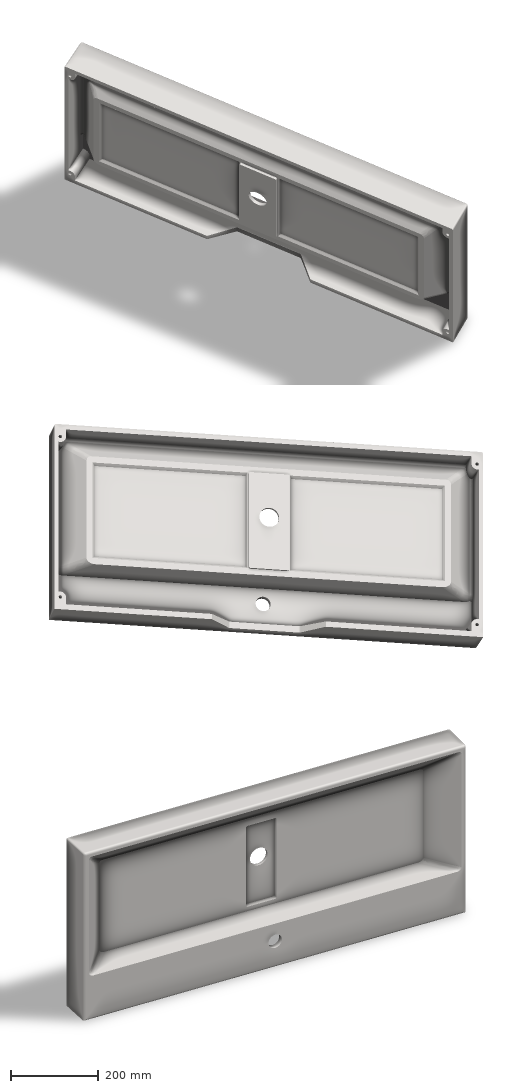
import cadquery as cq
import math

length = 1000.0
height = 450.0
overall_depth = 87.0
pad_rise = 6.0
body_depth = overall_depth - pad_rise
back_edge_radius = 6.0
top_corner_radius = 4.0
outer_draft = 2.0

side_rim = 10.0
top_rim = 12.0
bottom_rim = 13.0
wall_draft = 3.5
deck_thickness = 14.0
valley_radius = 5.0
groove_band = 13.0
deck_clearance = 0.1
groove_search = 50.0
hollow_depth = body_depth - deck_thickness

boss_x = 486.0
boss_inset_z = 30.0
boss_radius = 13.0
screw_hole_diameter = 8.0
screw_hole_depth = 20.0

bowl_half_length = 425.0
bowl_bottom = 115.0
bowl_top = 377.0
bowl_slope = 0.95
bowl_lower_slope = 0.12
bowl_corner_radius = 16.0
bowl_wall = 12.0
floor_thickness = 8.0

pocket_margin = 14.0
pocket_depth = 6.0
pocket_draft = 6.0
pocket_inner_draft = 4.0
pad_length = 95.0
pad_bottom = 129.0
pad_top = 362.0
pad_corner_radius = 4.0
pocket_bottom = 130.0
pad_gap = 2.0
pocket_inner_x = pad_length / 2 + pad_gap

drain_z = 255.0
drain_diameter = 46.0
tap_z = 70.0
tap_diameter = 35.0
notch_half_length = 133.0
notch_depth = 51.0
notch_height = 40.0
notch_radius = 6.0


def rectangle_at(y, x_min, x_max, z_min, z_max):
    """Closed rectangular wire in the plane of constant Y."""
    corners = [(x_min, z_min), (x_max, z_min), (x_max, z_max), (x_min, z_max)]
    return cq.Wire.makePolygon([cq.Vector(x, y, z) for x, z in corners], close=True)


def tapered_block(y_start, start_bounds, y_end, end_bounds):
    """Flat-sided block between two rectangles given as (x_min, x_max, z_min, z_max)."""
    start_wire = rectangle_at(y_start, *start_bounds)
    end_wire = rectangle_at(y_end, *end_bounds)
    return cq.Workplane(obj=cq.Solid.makeLoft([start_wire, end_wire], True))


def inset(bounds, amount):
    """Shrink (x_min, x_max, z_min, z_max) bounds on all four sides."""
    x_min, x_max, z_min, z_max = bounds
    return (x_min + amount, x_max - amount, z_min + amount, z_max - amount)


def cylinder_y(x, z, diameter, y_start, y_end):
    """Round bar along +Y from y_start to y_end."""
    bar = cq.Solid.makeCylinder(diameter / 2, y_end - y_start, cq.Vector(x, y_start, z), cq.Vector(0, 1, 0))
    return cq.Workplane(obj=bar)


def bowl_block(y_start, y_end, wall):
    """Bowl shape between two depths, set inside the outer bowl surface by the wall thickness."""
    slanted_wall = wall * math.hypot(1, bowl_slope)
    lower_wall = wall * math.hypot(1, bowl_lower_slope)

    def bounds(y):
        half_length = bowl_half_length + bowl_slope * y - slanted_wall
        z_min = bowl_bottom - bowl_lower_slope * y + lower_wall
        z_max = bowl_top + bowl_slope * y - slanted_wall
        return (-half_length, half_length, z_min, z_max)

    block = tapered_block(y_start, bounds(y_start), y_end, bounds(y_end))
    corner_edges = block.edges("not(#Y)").edges("not(|X)").edges("not(|Z)")
    return corner_edges.fillet(bowl_corner_radius - wall / 2)


def outer_block():
    """Solid envelope with drafted ends and rounded upper corners and visible edges."""
    half_length = length / 2
    front = (-half_length, half_length, 0, height)
    back = (outer_draft - half_length, half_length - outer_draft, 0, height)
    block = tapered_block(0, front, body_depth, back)
    block = block.faces(">Z").edges("not(|X)").fillet(top_corner_radius)
    return block.faces(">Y").edges().fillet(back_edge_radius)


def corner_boss(side, upper):
    """Drafted screw boss filling one corner of the hollow, with a round lobe around its screw."""
    boss_edge = boss_x - boss_radius
    lobe_top = boss_inset_z + boss_radius
    diagonal = boss_radius * math.sqrt(0.5)
    boss = (
        cq.Workplane("XZ")
        .moveTo(boss_edge, 0)
        .lineTo(boss_edge, boss_inset_z)
        .threePointArc((boss_x - diagonal, boss_inset_z + diagonal), (boss_x, lobe_top))
        .lineTo(length / 2, lobe_top)
        .lineTo(length / 2, 0)
        .close()
        .extrude(-hollow_depth, taper=-math.degrees(math.atan(wall_draft / hollow_depth)))
    )
    if side < 0:
        boss = boss.mirror("YZ")
    if upper:
        boss = boss.mirror("XY", (0, 0, height / 2))
    return boss


def round_valleys(space):
    """Round the grooves where the slanted bowl walls run into the top and side walls."""
    half_length = length / 2
    middle_z = (bowl_bottom + bowl_top) / 2
    y_min = hollow_depth - groove_band
    y_max = hollow_depth - deck_clearance
    top_groove = cq.selectors.BoxSelector(
        (-groove_search, y_min, bowl_top),
        (groove_search, y_max, height),
    )
    side_grooves = cq.selectors.BoxSelector(
        (-half_length, y_min, middle_z - groove_search),
        (half_length, y_max, middle_z + groove_search),
    )
    return space.edges(top_groove + side_grooves).fillet(valley_radius)


def hollow():
    """Empty space of the underside, around the bowl and the corner bosses."""
    opening = (-length / 2 + side_rim, length / 2 - side_rim, bottom_rim, height - top_rim)
    space = tapered_block(0, opening, hollow_depth, inset(opening, wall_draft))
    space = space.cut(bowl_block(0, body_depth, 0))
    space = round_valleys(space)
    for side in (-1, 1):
        for upper in (False, True):
            space = space.cut(corner_boss(side, upper))
    return space


def pocket(side):
    """Shallow recess beside the drain pad, its walls sloping in towards the floor."""
    inner_x = pocket_inner_x
    outer_x = bowl_half_length - pocket_margin
    mouth = (inner_x, outer_x, pocket_bottom, pad_top)
    floor = (
        inner_x + pocket_inner_draft,
        outer_x - pocket_draft,
        pocket_bottom + pocket_draft,
        pad_top - pocket_draft,
    )
    block = tapered_block(0, mouth, pocket_depth, floor)
    return block if side > 0 else block.mirror("YZ")


def straight_pad(y_start, y_end, margin):
    """Rounded rectangular block with the outline of the drain pad, reduced by a margin."""
    size_z = pad_top - pad_bottom - 2 * margin
    block = cq.Workplane("XY").box(pad_length - 2 * margin, y_end - y_start, size_z)
    block = block.edges("|Y").fillet(pad_corner_radius)
    return block.translate((0, (y_start + y_end) / 2, (pad_top + pad_bottom) / 2))


bowl_floor_y = pocket_depth + floor_thickness
channel_floor_y = floor_thickness - pad_rise

result = outer_block().cut(hollow())
result = result.cut(bowl_block(bowl_floor_y, body_depth, bowl_wall))
result = result.union(straight_pad(-pad_rise, bowl_floor_y, 0))
for side in (-1, 1):
    result = result.cut(pocket(side))

result = result.cut(straight_pad(channel_floor_y, bowl_floor_y, floor_thickness))

result = result.cut(cylinder_y(0, drain_z, drain_diameter, -pad_rise, body_depth))
result = result.cut(cylinder_y(0, tap_z, tap_diameter, 0, body_depth))
for side in (-1, 1):
    for hole_z in (boss_inset_z, height - boss_inset_z):
        result = result.cut(cylinder_y(side * boss_x, hole_z, screw_hole_diameter, 0, screw_hole_depth))

notch_inner = notch_half_length - notch_depth
notch_outline = [
    (-notch_half_length, 0),
    (notch_half_length, 0),
    (notch_inner, notch_depth),
    (-notch_inner, notch_depth),
]
notch = cq.Workplane("XY").polyline(notch_outline).close().extrude(notch_height)
result = result.cut(notch.edges("|Z and >Y").fillet(notch_radius)).solids()